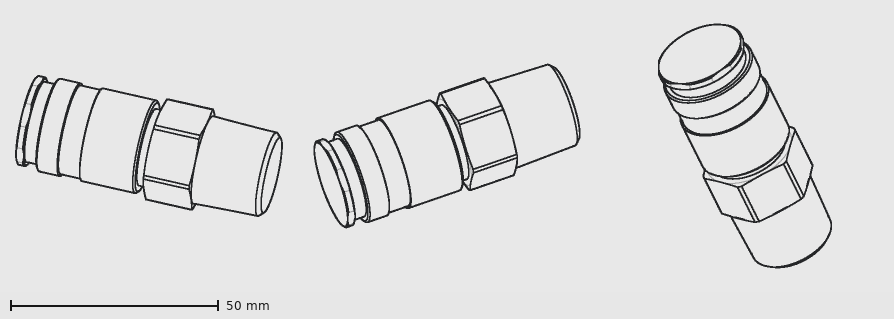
import cadquery as cq
import math

flange_length = 1.95
sleeve_start = 5.1
groove_start = 10.55
groove_end = 16.15
sleeve_end = 29.95
hex_start = 32.0
hex_end = 43.9
thread_chamfer_start = 59.9
total_length = 61.0

hexagon_sides = 6

flange_diameter = 22.0
flange_flat_distance = 21.3
flange_chamfer_length = 0.25

shaft_diameter = 19.9
neck_diameter = 19.0

hex_across_flats = 22.0
hex_corner_diameter = 24.8
hex_chamfer_diameter = 22.0
hex_chamfer_length = 0.25
hex_turn_angle = 18.4

thread_taper = 1 / 16
thread_tip_diameter = 20.7
thread_end_diameter = 18.6
thread_base_diameter = thread_tip_diameter + thread_taper * (thread_chamfer_start - hex_end)

sleeve_diameter = 23.0
groove_diameter = 22.0
sleeve_chamfer = 0.5
sleeve_front_chamfer_length = 0.35
groove_wall_lean = 0.2


def revolve_about_x(points):
    """Solid of revolution about X from (x, radius) points; the outline closes along the axis."""
    first_x = points[0][0]
    last_x = points[-1][0]
    outline = [(first_x, 0), *points, (last_x, 0)]
    return cq.Workplane("XY").polyline(outline).close().revolve(360, (0, 0, 0), (1, 0, 0))


def cylinder(start, end, diameter):
    """Round bar along X."""
    return cq.Workplane("YZ", origin=(start, 0, 0)).circle(diameter / 2).extrude(end - start)


def hexagon(start, end, across_flats):
    """Hexagonal bar along X with two of its flats facing -Y and +Y."""
    across_corners = across_flats / math.cos(math.pi / hexagon_sides)
    return (
        cq.Workplane("YZ", origin=(start, 0, 0))
        .transformed(rotate=(0, 0, 180 / hexagon_sides))
        .polygon(hexagon_sides, across_corners)
        .extrude(end - start)
    )


def make_flange():
    """Chamfered front disc, cut by six flats that just reach the chamfer's small edge."""
    disc = cylinder(0, flange_length, flange_diameter).edges("%CIRCLE").chamfer(
        flange_chamfer_length, (flange_diameter - flange_flat_distance) / 2
    )
    return disc.intersect(hexagon(0, flange_length, flange_flat_distance))


def make_hex():
    """Wrench hexagon with its corners turned down and both ends chamfered."""
    corner_radius = hex_corner_diameter / 2
    end_radius = hex_chamfer_diameter / 2
    turned_blank = revolve_about_x([
        (hex_start, end_radius),
        (hex_start + hex_chamfer_length, corner_radius),
        (hex_end - hex_chamfer_length, corner_radius),
        (hex_end, end_radius),
    ])
    bar = hexagon(hex_start, hex_end, hex_across_flats)
    bar = bar.rotate((0, 0, 0), (1, 0, 0), 180 / hexagon_sides - hex_turn_angle)
    return turned_blank.intersect(bar)


def make_thread():
    """Tapered threaded end with a chamfered tip."""
    return revolve_about_x([
        (hex_end, thread_base_diameter / 2),
        (thread_chamfer_start, thread_tip_diameter / 2),
        (total_length, thread_end_diameter / 2),
    ])


def make_connector_body():
    """Core of the coupling: flange, shaft, neck, hexagon and thread in one piece."""
    shaft = cylinder(flange_length, sleeve_start, shaft_diameter)
    neck = cylinder(sleeve_start, hex_start, neck_diameter)
    return make_flange().union(shaft).union(neck).union(make_hex()).union(make_thread())


def make_sleeve():
    """Grooved ring around the neck, seated against the end of the shaft."""
    outer_radius = sleeve_diameter / 2
    groove_radius = groove_diameter / 2
    end_radius = outer_radius - sleeve_chamfer
    blank = revolve_about_x([
        (sleeve_start, end_radius),
        (sleeve_start + sleeve_front_chamfer_length, outer_radius),
        (groove_start, outer_radius),
        (groove_start + groove_wall_lean, groove_radius),
        (groove_end, groove_radius),
        (groove_end, outer_radius),
        (sleeve_end - sleeve_chamfer, outer_radius),
        (sleeve_end, end_radius),
    ])
    return blank.cut(cylinder(sleeve_start, sleeve_end, neck_diameter))


connector_body = make_connector_body()
sleeve = make_sleeve()

result = cq.Compound.makeCompound([connector_body.val(), sleeve.val()])